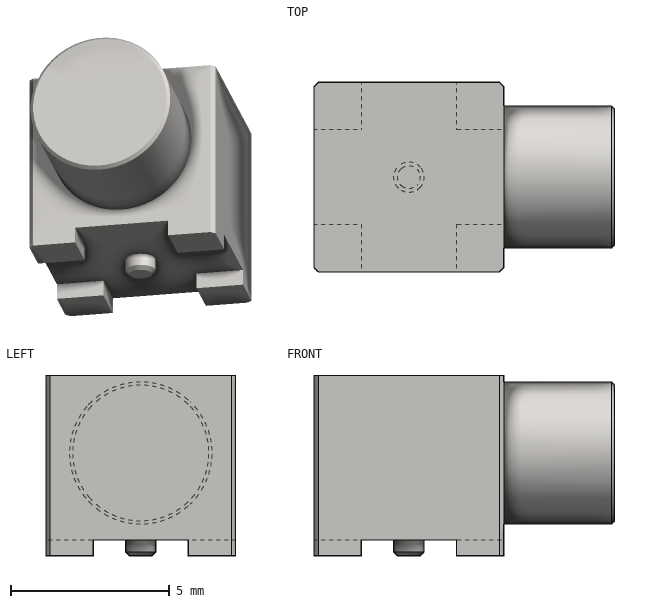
import cadquery as cq

body_side = 6.0
body_height = 5.7
corner_chamfer = 0.14

channel_width = 3.0
foot_height = 0.5

barrel_diameter = 4.5
barrel_length = 3.5
barrel_axis_height = 3.25
barrel_chamfer = 0.1

pin_diameter = 0.96
pin_chamfer = 0.12


def make_floor_block(size_x, size_y, height):
    """Rectangular block centred in X and Y that stands on Z = 0."""
    return cq.Workplane("XY").box(size_x, size_y, height, centered=(True, True, False))


def make_body():
    """Block with chamfered vertical corners and four corner feet."""
    body = make_floor_block(body_side, body_side, body_height)
    body = body.edges("|Z").chamfer(corner_chamfer)
    channel_along_x = make_floor_block(body_side, channel_width, foot_height)
    channel_along_y = make_floor_block(channel_width, body_side, foot_height)
    return body.cut(channel_along_x).cut(channel_along_y)


def make_barrel():
    """Solid cylinder along +X with a chamfered outer end."""
    root_plane = cq.Workplane("YZ", origin=(body_side / 2, 0, barrel_axis_height))
    barrel = root_plane.circle(barrel_diameter / 2).extrude(barrel_length)
    return barrel.faces(">X").edges().chamfer(barrel_chamfer)


def make_pin():
    """Short pin below the block with a chamfered tip."""
    pin = cq.Workplane("XY").circle(pin_diameter / 2).extrude(foot_height)
    return pin.faces("<Z").edges().chamfer(pin_chamfer)


result = make_body().union(make_barrel()).union(make_pin())